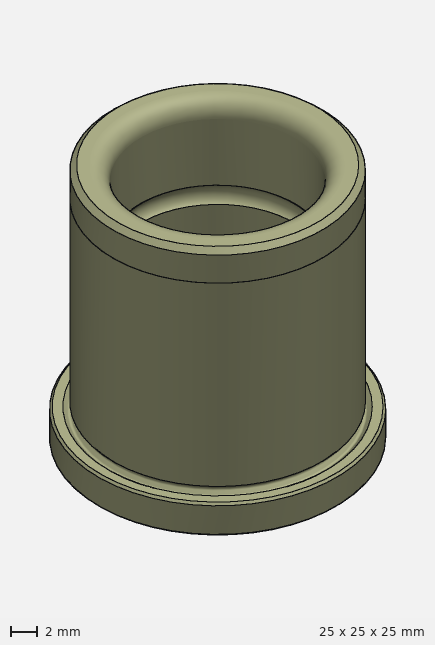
import cadquery as cq
import math

height = 25.0
body_radius = 11.0
lead_length = 3.0
lead_clearance = 0.012
top_chamfer_width = 0.5
top_chamfer_height = 0.45

flange_radius = 12.5
flange_height = 3.0
flange_chamfer = 0.2

relief_reach = 0.5
relief_wall = 0.35
relief_fillet = 0.2

bore_radius = 8.0
mouth_radius = 1.5
groove_bottom = 15.75
groove_width = 1.75
groove_depth = 0.5

lead_radius = body_radius - lead_clearance
arc_cos = math.cos(math.pi / 4)
mouth_arc_mid = (
    bore_radius + mouth_radius * (1 - arc_cos),
    height - mouth_radius * (1 - arc_cos),
)

fillet_leg = relief_fillet * arc_cos
outer_wall_end = (body_radius + relief_reach - relief_wall, flange_height - relief_wall)
outer_fillet_mid = (
    outer_wall_end[0] - fillet_leg,
    outer_wall_end[1] + fillet_leg - relief_fillet,
)
outer_fillet_end = (outer_wall_end[0] - 2 * fillet_leg, outer_wall_end[1])


def mirror_in_relief(point):
    """Mirror a (radius, height) point about the relief diagonal."""
    radius, level = point
    return (body_radius + level - flange_height, flange_height + radius - body_radius)


section = (
    cq.Workplane("XZ")
    .moveTo(bore_radius, 0)
    .lineTo(flange_radius - flange_chamfer, 0)
    .lineTo(flange_radius, flange_chamfer)
    .lineTo(flange_radius, flange_height - flange_chamfer)
    .lineTo(flange_radius - flange_chamfer, flange_height)
    .lineTo(body_radius + relief_reach, flange_height)
    .lineTo(*outer_wall_end)
    .threePointArc(outer_fillet_mid, outer_fillet_end)
    .lineTo(*mirror_in_relief(outer_fillet_end))
    .threePointArc(mirror_in_relief(outer_fillet_mid), mirror_in_relief(outer_wall_end))
    .lineTo(body_radius, flange_height + relief_reach)
    .lineTo(body_radius, height - lead_length)
    .lineTo(lead_radius, height - lead_length)
    .lineTo(lead_radius, height - top_chamfer_height)
    .lineTo(lead_radius - top_chamfer_width, height)
    .lineTo(bore_radius + mouth_radius, height)
    .threePointArc(mouth_arc_mid, (bore_radius, height - mouth_radius))
    .lineTo(bore_radius, groove_bottom + groove_width)
    .threePointArc(
        (bore_radius + groove_depth, groove_bottom + groove_width / 2),
        (bore_radius, groove_bottom),
    )
    .close()
)

result = section.revolve(360, (0, 0, 0), (0, 1, 0))